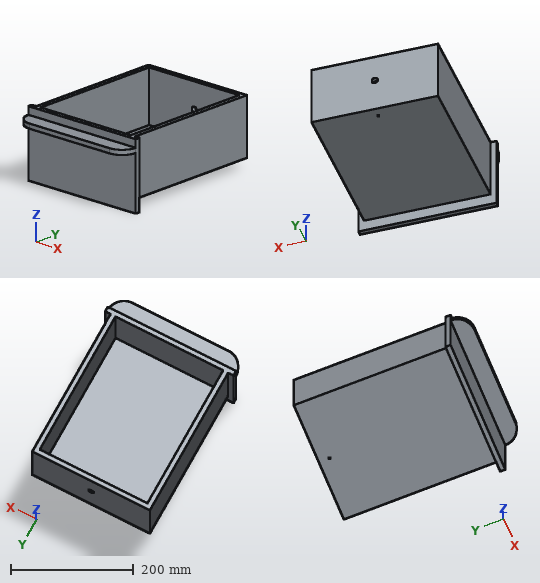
import cadquery as cq

total_length = 310.0
front_width = 237.0
front_height = 129.0
board = 9.0
side_thickness = 9.3
front_overhang = 10.0
front_drop = 20.0
handle_depth = 30.0
handle_top_gap = 15.0
back_hole_diameter = 10.0
back_hole_depth_below_rim = 49.0
floor_hole_diameter = 2.5
floor_hole_inset = 10.0

front_face_y = handle_depth
box_front_y = front_face_y + board
box_length = total_length - box_front_y
box_width = front_width - 2 * front_overhang
box_height = front_height - front_drop
back_inner_y = total_length - board
handle_bottom_z = box_height - handle_top_gap - board


def block(width, length, height, front_y, bottom_z):
    """Block centred on X, placed by its front and bottom faces."""
    solid = cq.Workplane("XY").box(width, length, height, centered=(True, False, False))
    return solid.translate((0, front_y, bottom_z))


def drawer_box():
    outer = block(box_width, box_length, box_height, box_front_y, 0)
    cavity = block(
        box_width - 2 * side_thickness,
        back_inner_y - box_front_y,
        box_height - board,
        box_front_y,
        board,
    )
    return outer.cut(cavity)


def front_panel():
    return block(front_width, board, front_height, front_face_y, -front_drop)


def handle():
    """Full-width shelf with quarter-round outer corners."""
    radius = handle_depth
    half_width = front_width / 2
    diagonal = radius * (1 - 0.5 ** 0.5)
    return (
        cq.Workplane("XY", origin=(0, 0, handle_bottom_z))
        .moveTo(-half_width, front_face_y)
        .threePointArc((-half_width + diagonal, diagonal), (-half_width + radius, 0))
        .lineTo(half_width - radius, 0)
        .threePointArc((half_width - diagonal, diagonal), (half_width, front_face_y))
        .close()
        .extrude(board)
    )


def back_hole():
    hole_z = box_height - back_hole_depth_below_rim
    return (
        cq.Workplane("XZ", origin=(0, total_length, hole_z))
        .circle(back_hole_diameter / 2)
        .extrude(board)
    )


def floor_hole():
    return (
        cq.Workplane("XY", origin=(0, back_inner_y - floor_hole_inset, 0))
        .circle(floor_hole_diameter / 2)
        .extrude(board)
    )


result = drawer_box().union(front_panel()).union(handle()).cut(back_hole()).cut(floor_hole())